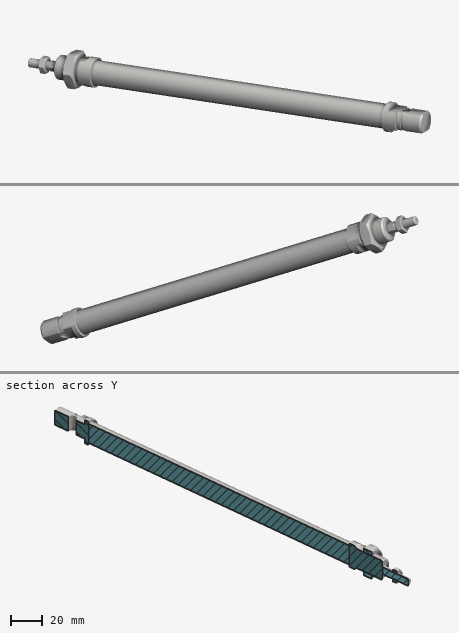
import cadquery as cq
import math

OVERALL_LENGTH = 280.0

ROD_NUT_START = 9.0
ROD_NUT_LENGTH = 4.0
ROD_HEX_START = 15.0
NOSE_START = 20.7
CAP_NUT_START = 28.8
CAP_NUT_LENGTH = 7.0
FRONT_COLLAR_START = 38.5
TUBE_START = 47.3
TUBE_END = 253.0
EYE_FLAT_START = 256.5
REAR_COLLAR_END = 262.5
GROOVE_START = 265.5
GROOVE_END = 267.5

ROD_THREAD_DIAMETER = 6.0
ROD_TIP_DIAMETER = 5.0
ROD_HEX_WIDTH = 6.2
ROD_NUT_WIDTH = 10.0
ROD_NUT_FACE_DIAMETER = 9.5

TUBE_DIAMETER = 16.0
END_FACE_DIAMETER = 14.3
GROOVE_DIAMETER = END_FACE_DIAMETER
COLLAR_DIAMETER = 19.3
CAP_NUT_WIDTH = 22.0
CAP_NUT_FACE_DIAMETER = 21.5
NOSE_CHAMFER_LENGTH = 0.8
EYE_CHAMFER_LENGTH = 1.0
SPANNER_FLAT_LENGTH = 2.8
EYE_THICKNESS = 12.0
EYE_HOLE_DIAMETER = 6.0
EYE_HOLE_X = 266.0

HEX_CHAMFER_SLOPE = math.tan(math.radians(30))


def cylinder(diameter, start, end):
    """Round bar along X."""
    return cq.Workplane("YZ").workplane(offset=start).circle(diameter / 2).extrude(end - start)


def cone(start_diameter, start, end_diameter, end):
    """Truncated cone along X."""
    profile = [(start, 0), (start, start_diameter / 2), (end, end_diameter / 2), (end, 0)]
    return cq.Workplane("XY").polyline(profile).close().revolve(360, (0, 0), (1, 0))


def hexagon_bar(width, start, end):
    """Hexagonal bar along X with flats on top and bottom and corners at +Y and -Y."""
    corner_diameter = width / math.cos(math.pi / 6)
    return cq.Workplane("YZ").workplane(offset=start).polygon(6, corner_diameter).extrude(end - start)


def corner_limit(width, face_diameter, start, end, chamfer_start, chamfer_end):
    """Turned envelope that takes a 30 degree chamfer off the corners of a hexagonal bar."""
    corner_radius = width / math.cos(math.pi / 6) / 2
    face_radius = face_diameter / 2
    run = (corner_radius - face_radius) * HEX_CHAMFER_SLOPE
    profile = [(start, 0)]
    if chamfer_start:
        profile += [(start, face_radius), (start + run, corner_radius)]
    else:
        profile += [(start, corner_radius)]
    if chamfer_end:
        profile += [(end - run, corner_radius), (end, face_radius)]
    else:
        profile += [(end, corner_radius)]
    profile += [(end, 0)]
    return cq.Workplane("XY").polyline(profile).close().revolve(360, (0, 0), (1, 0))


def make_nut(width, face_diameter, bore, start, length, chamfer_start):
    """Hexagon nut with its far end chamfered, and its near end too if chamfer_start is set."""
    end = start + length
    limit = corner_limit(width, face_diameter, start, end, chamfer_start, True)
    return hexagon_bar(width, start, end).intersect(limit).cut(cylinder(bore, start, end))


def make_rod():
    tip_length = (ROD_THREAD_DIAMETER - ROD_TIP_DIAMETER) / 2
    tip = cone(ROD_TIP_DIAMETER, 0, ROD_THREAD_DIAMETER, tip_length)
    thread = cylinder(ROD_THREAD_DIAMETER, tip_length, ROD_HEX_START).union(tip)
    limit = corner_limit(ROD_HEX_WIDTH, ROD_THREAD_DIAMETER, ROD_HEX_START, NOSE_START, True, False)
    shank = hexagon_bar(ROD_HEX_WIDTH, ROD_HEX_START, NOSE_START).intersect(limit)
    return thread.union(shank)


def make_collar(start, end):
    """Round collar with its +Y side cut flush with the tube."""
    side_flat = cq.Workplane("XY").box(
        end - start, COLLAR_DIAMETER, COLLAR_DIAMETER, centered=(False, False, True)
    ).translate((start, TUBE_DIAMETER / 2, 0))
    return cylinder(COLLAR_DIAMETER, start, end).cut(side_flat)


def spanner_flat_cutter():
    """Cutter for the flat on top of the front collar, ending in a 45 degree ramp."""
    flat_height = TUBE_DIAMETER / 2
    cutter_height = COLLAR_DIAMETER
    flat_end = FRONT_COLLAR_START + SPANNER_FLAT_LENGTH
    profile = [
        (FRONT_COLLAR_START, flat_height),
        (flat_end, flat_height),
        (flat_end + cutter_height - flat_height, cutter_height),
        (FRONT_COLLAR_START, cutter_height),
    ]
    return cq.Workplane("XZ").polyline(profile).close().extrude(COLLAR_DIAMETER / 2, both=True)


def make_front_cap():
    nose_shoulder = NOSE_START + NOSE_CHAMFER_LENGTH
    cap = cone(END_FACE_DIAMETER, NOSE_START, TUBE_DIAMETER, nose_shoulder)
    cap = cap.union(cylinder(TUBE_DIAMETER, nose_shoulder, FRONT_COLLAR_START))
    cap = cap.union(make_collar(FRONT_COLLAR_START, TUBE_START))
    top_cutter = spanner_flat_cutter()
    return cap.cut(top_cutter).cut(top_cutter.mirror("XY"))


def make_rear_cap():
    eye_shoulder = OVERALL_LENGTH - EYE_CHAMFER_LENGTH
    cap = make_collar(TUBE_END, REAR_COLLAR_END)
    cap = cap.union(cylinder(TUBE_DIAMETER, REAR_COLLAR_END, GROOVE_START))
    cap = cap.union(cylinder(GROOVE_DIAMETER, GROOVE_START, GROOVE_END))
    cap = cap.union(cylinder(TUBE_DIAMETER, GROOVE_END, eye_shoulder))
    cap = cap.union(cone(TUBE_DIAMETER, eye_shoulder, END_FACE_DIAMETER, OVERALL_LENGTH))

    flat_length = OVERALL_LENGTH - EYE_FLAT_START
    top_cutter = cq.Workplane("XY").box(
        flat_length, 2 * COLLAR_DIAMETER, COLLAR_DIAMETER, centered=(False, True, False)
    ).translate((EYE_FLAT_START, 0, EYE_THICKNESS / 2))
    eye_hole = cq.Workplane("XY").center(EYE_HOLE_X, 0).circle(EYE_HOLE_DIAMETER / 2).extrude(
        COLLAR_DIAMETER, both=True
    )
    return cap.cut(top_cutter).cut(top_cutter.mirror("XY")).cut(eye_hole)


rod = make_rod()
rod_nut = make_nut(
    ROD_NUT_WIDTH, ROD_NUT_FACE_DIAMETER, ROD_THREAD_DIAMETER, ROD_NUT_START, ROD_NUT_LENGTH,
    chamfer_start=False,
)
front_cap = make_front_cap()
cap_nut = make_nut(
    CAP_NUT_WIDTH, CAP_NUT_FACE_DIAMETER, TUBE_DIAMETER, CAP_NUT_START, CAP_NUT_LENGTH, chamfer_start=True
)
tube = cylinder(TUBE_DIAMETER, TUBE_START, TUBE_END)
rear_cap = make_rear_cap()

result = cq.Compound.makeCompound(
    [rod.val(), rod_nut.val(), front_cap.val(), cap_nut.val(), tube.val(), rear_cap.val()]
)